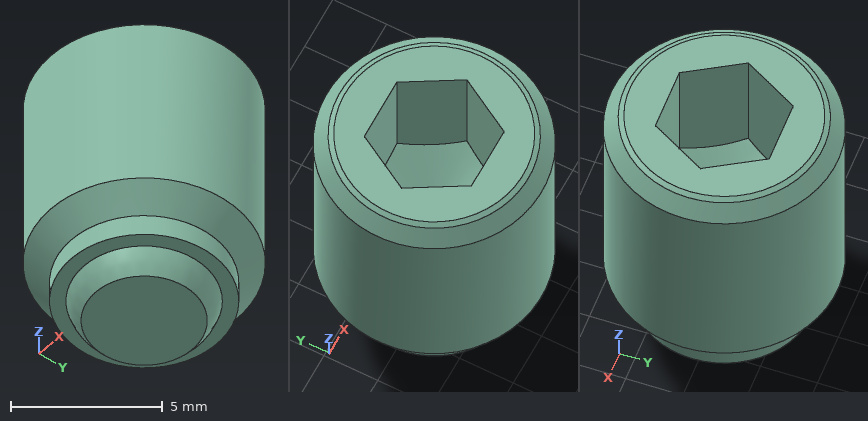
import cadquery as cq
import math

TOTAL_HEIGHT = 10.4
SCREW_RADIUS = 8.0 / 2

TOP_CHAMFER = 0.5
RIM_WIDTH = 0.19
RIM_HEIGHT = 0.09

COLLAR_RADIUS = 3.12
COLLAR_HEIGHT = 0.87
TAPER_HEIGHT = SCREW_RADIUS - COLLAR_RADIUS

HEX_ACROSS_FLATS = 3.99
HEX_DEPTH = 4.16
DRILL_POINT_ANGLE = 120.0
HEX_ACROSS_CORNERS = HEX_ACROSS_FLATS / math.cos(math.radians(30))
DRILL_RADIUS = HEX_ACROSS_CORNERS / 2
DRILL_DEPTH = DRILL_RADIUS / math.tan(math.radians(DRILL_POINT_ANGLE / 2))

PIN_RADIUS = 2.58
TIP_END_RADIUS = 2.08
TIP_HEIGHT = 0.9
TIP_BULGE = 0.06
PIN_SEAT_DEPTH = COLLAR_HEIGHT + TAPER_HEIGHT

COLLAR_BOTTOM = TIP_HEIGHT
COLLAR_TOP = COLLAR_BOTTOM + COLLAR_HEIGHT
TAPER_TOP = COLLAR_TOP + TAPER_HEIGHT
RIM_BOTTOM = TOTAL_HEIGHT - RIM_HEIGHT
CHAMFER_BOTTOM = RIM_BOTTOM - TOP_CHAMFER
PIN_TOP = COLLAR_BOTTOM + PIN_SEAT_DEPTH
HEX_BOTTOM = TOTAL_HEIGHT - HEX_DEPTH


def revolve_profile(profile):
    """Turn a closed half profile drawn as (radius, height) about the Z axis."""
    return profile.close().revolve(360, (0, 0, 0), (0, 1, 0))


def make_screw_blank():
    rim_radius = SCREW_RADIUS - TOP_CHAMFER
    profile = cq.Workplane("XZ").polyline([
        (0, COLLAR_BOTTOM),
        (COLLAR_RADIUS, COLLAR_BOTTOM),
        (COLLAR_RADIUS, COLLAR_TOP),
        (SCREW_RADIUS, TAPER_TOP),
        (SCREW_RADIUS, CHAMFER_BOTTOM),
        (rim_radius, RIM_BOTTOM),
        (rim_radius - RIM_WIDTH, TOTAL_HEIGHT),
        (0, TOTAL_HEIGHT),
    ])
    return revolve_profile(profile)


def make_hex_socket():
    """Hexagonal prism whose lower end is cut to the cone of a drill point."""
    full_depth = HEX_DEPTH + DRILL_DEPTH
    prism = (
        cq.Workplane("XY", origin=(0, 0, TOTAL_HEIGHT - full_depth))
        .polygon(6, HEX_ACROSS_CORNERS)
        .extrude(full_depth)
    )
    drill_profile = cq.Workplane("XZ").polyline([
        (0, HEX_BOTTOM - DRILL_DEPTH),
        (DRILL_RADIUS, HEX_BOTTOM),
        (DRILL_RADIUS, TOTAL_HEIGHT),
        (0, TOTAL_HEIGHT),
    ])
    return prism.intersect(revolve_profile(drill_profile))


def make_pin_seat():
    return (
        cq.Workplane("XY", origin=(0, 0, COLLAR_BOTTOM))
        .circle(PIN_RADIUS)
        .extrude(PIN_SEAT_DEPTH)
    )


def make_pin():
    flank_width = PIN_RADIUS - TIP_END_RADIUS
    flank_length = math.hypot(flank_width, TIP_HEIGHT)
    middle_radius = (PIN_RADIUS + TIP_END_RADIUS) / 2 + TIP_BULGE * TIP_HEIGHT / flank_length
    middle_height = TIP_HEIGHT / 2 - TIP_BULGE * flank_width / flank_length
    profile = (
        cq.Workplane("XZ")
        .lineTo(TIP_END_RADIUS, 0)
        .threePointArc((middle_radius, middle_height), (PIN_RADIUS, COLLAR_BOTTOM))
        .lineTo(PIN_RADIUS, PIN_TOP)
        .lineTo(0, PIN_TOP)
    )
    return revolve_profile(profile)


screw = make_screw_blank().cut(make_hex_socket()).cut(make_pin_seat())
pin = make_pin()

result = cq.Compound.makeCompound([screw.solids().val(), pin.val()])